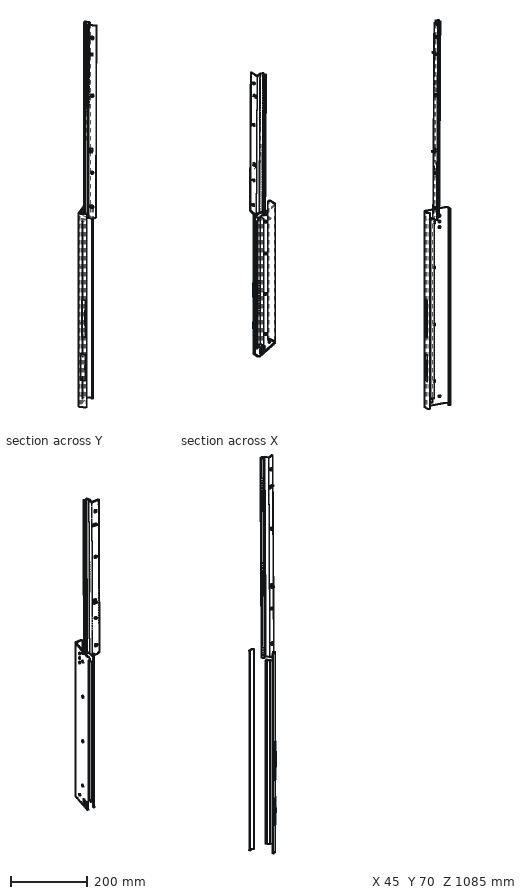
import cadquery as cq

TOTAL_HEIGHT = 1085.0
HOUSING_HEIGHT = 551.0
HOUSING_DEPTH = 22.1
HOUSING_MAX_Y = 70.0
BUMP_RISE = 1.0
HOUSING_MIN_Y = BUMP_RISE
SHEET = 3.0
BEND_RADIUS = 5.0
LIP_LENGTH = 8.0

MOUNT_HOLE_Y = 30.0
MOUNT_HOLE_DIAMETER = 7.0
MOUNT_HOLE_HEIGHTS = [67.0, 227.0, 387.0, 514.0]
TOP_HOLE_DIAMETER = 5.0
TOP_HOLE_HEIGHT = 544.0
SMALL_HOLE_Y = 46.1
SMALL_HOLE_DIAMETER = 5.0
SMALL_HOLE_HEIGHTS = [22.0, 498.0, 514.0, 531.0]

WINDOW_MIN_Y = 9.0
WINDOW_MAX_Y = 26.6
WINDOW_BOTTOM = 8.0
WINDOW_TOP = 23.0

BUMP_END_X = 20.0
BUMPS = [
    (11.0, 201.0, 239.0, 275.0, 306.0),
    (8.0, 77.0, 113.0, 117.0, 152.0),
]

INNER_RAIL_BOTTOM = 24.0
INNER_RAIL_TOP = 530.0
INNER_HEAD_MAX_X = 15.0
INNER_HEAD_MAX_Y = 24.4
INNER_HEAD_MIN_Y = 14.6
INNER_ARM_MIN_Y = 19.0
INNER_HEEL_X = 7.0
INNER_HEEL_MIN_Y = 12.0
INNER_FOOT_X = 12.0
INNER_FOOT_THICKNESS = 1.6

RAIL_BOTTOM = 535.0
RAIL_TILT = 0.35
RAIL_MAX_X = 45.0
RAIL_WEB_X = 21.2
FLANGE_Y = 19.7
RAIL_BEND_RADIUS = 2.0
FLANGE_CHAMFER_X = 7.0
FLANGE_CHAMFER_Z = 4.0
HOOK_MIN_X = 7.4
HOOK_END_Y = 31.0
HOOK_TOP_Y = 40.9
HOOK_SHOULDER_Y = 34.2
GROOVE_X = 14.0
GROOVE_DEPTH = 2.0
GROOVE_HALF_WIDTH = 3.0

FLANGE_HOLE_X = 34.0
SCREW_HOLE_DIAMETER = 4.0
SCREW_HEAD_DIAMETER = 9.0
SCREW_HEAD_ANGLE = 90
SCREW_HOLE_HEIGHTS = [569.0, 885.0, 1049.0]
ROUND_HOLE_DIAMETER = 7.0
ROUND_HOLE_HEIGHT = 665.0

TAB_MIN_X = 25.0
TAB_MAX_X = 35.0
TAB_REACH = 6.0
TAB_THICKNESS = 2.0
TABS = [(725.0, 733.0, 725.0), (998.0, 1006.0, 1004.0)]


def block(x_range, y_range, z_range):
    """Axis-aligned block between the given limits."""
    lows, highs = zip(x_range, y_range, z_range)
    size = [high - low for low, high in zip(lows, highs)]
    return cq.Workplane("XY").box(*size, centered=False).translate(lows)


def web_holes(y, heights, diameter):
    """Cutters along X through the housing web."""
    points = [(y, z) for z in heights]
    return cq.Workplane("YZ").pushPoints(points).circle(diameter / 2).extrude(SHEET)


def housing_channel():
    """C channel with two flanges, each ending in a short inward lip."""
    low, high = HOUSING_MIN_Y, HOUSING_MAX_Y
    outer = block((0, HOUSING_DEPTH), (low, high), (0, HOUSING_HEIGHT)).edges("|Z").fillet(BEND_RADIUS)
    inner = block(
        (SHEET, HOUSING_DEPTH - SHEET), (low + SHEET, high - SHEET), (0, HOUSING_HEIGHT)
    ).edges("|Z").fillet(BEND_RADIUS - SHEET)
    mouth = block(
        (HOUSING_DEPTH - SHEET, HOUSING_DEPTH), (low + LIP_LENGTH, high - LIP_LENGTH), (0, HOUSING_HEIGHT)
    )
    return outer.cut(inner).cut(mouth)


def flange_bump(start_x, bottom, crest_bottom, crest_top, top):
    """Shallow ramped bump on the outside of the lower flange."""
    base = HOUSING_MIN_Y + SHEET / 2
    profile = [
        (base, bottom),
        (HOUSING_MIN_Y, bottom),
        (0, crest_bottom),
        (0, crest_top),
        (HOUSING_MIN_Y, top),
        (base, top),
    ]
    bump_start = cq.Workplane("YZ", origin=(start_x, 0, 0))
    return bump_start.polyline(profile).close().extrude(BUMP_END_X - start_x)


def make_housing():
    housing = housing_channel()
    for bump in BUMPS:
        housing = housing.union(flange_bump(*bump))
    housing = housing.cut(web_holes(MOUNT_HOLE_Y, MOUNT_HOLE_HEIGHTS, MOUNT_HOLE_DIAMETER))
    housing = housing.cut(web_holes(MOUNT_HOLE_Y, [TOP_HOLE_HEIGHT], TOP_HOLE_DIAMETER))
    housing = housing.cut(web_holes(SMALL_HOLE_Y, SMALL_HOLE_HEIGHTS, SMALL_HOLE_DIAMETER))
    window_y = (WINDOW_MIN_Y, WINDOW_MAX_Y)
    return housing.cut(block((0, SHEET), window_y, (WINDOW_BOTTOM, WINDOW_TOP)))


def make_inner_rail():
    """Rail with a thick head against the web and a thin foot on the lower flange."""
    foot_y = HOUSING_MIN_Y + SHEET
    foot_inner_x = INNER_FOOT_X - INNER_FOOT_THICKNESS
    profile = [
        (SHEET, INNER_HEAD_MAX_Y),
        (INNER_HEAD_MAX_X, INNER_HEAD_MAX_Y),
        (INNER_HEAD_MAX_X, INNER_HEAD_MIN_Y),
        (INNER_FOOT_X, INNER_HEAD_MIN_Y),
        (INNER_FOOT_X, foot_y),
        (foot_inner_x, foot_y),
        (foot_inner_x, INNER_HEEL_MIN_Y),
        (INNER_HEEL_X, INNER_HEEL_MIN_Y),
        (INNER_HEEL_X, INNER_ARM_MIN_Y),
        (SHEET, INNER_ARM_MIN_Y),
    ]
    rail = cq.Workplane("XY", origin=(0, 0, INNER_RAIL_BOTTOM)).polyline(profile).close()
    return rail.extrude(INNER_RAIL_TOP - INNER_RAIL_BOTTOM)


def rail_section():
    """Flange, web and grooved hook of the upper rail, all of one sheet thickness."""
    t = SHEET
    web_outer = RAIL_WEB_X + t
    groove_start = GROOVE_X - GROOVE_HALF_WIDTH
    groove_end = GROOVE_X + GROOVE_HALF_WIDTH
    groove_y = HOOK_TOP_Y - GROOVE_DEPTH
    section = cq.Workplane("XY", origin=(0, 0, RAIL_BOTTOM))
    section = section.moveTo(RAIL_WEB_X, FLANGE_Y).lineTo(RAIL_MAX_X, FLANGE_Y)
    section = section.lineTo(RAIL_MAX_X, FLANGE_Y + t).lineTo(web_outer, FLANGE_Y + t)
    section = section.lineTo(web_outer, HOOK_SHOULDER_Y).lineTo(groove_end + t / 2, HOOK_TOP_Y)
    section = section.lineTo(groove_end, HOOK_TOP_Y)
    section = section.threePointArc((GROOVE_X, groove_y), (groove_start, HOOK_TOP_Y))
    section = section.lineTo(HOOK_MIN_X, HOOK_TOP_Y).lineTo(HOOK_MIN_X, HOOK_END_Y)
    section = section.lineTo(HOOK_MIN_X + t, HOOK_END_Y).lineTo(HOOK_MIN_X + t, HOOK_TOP_Y - t)
    section = section.lineTo(groove_start, HOOK_TOP_Y - t)
    section = section.threePointArc((GROOVE_X, groove_y - t), (groove_end, HOOK_TOP_Y - t))
    return section.lineTo(RAIL_WEB_X, HOOK_SHOULDER_Y - t / 2).close()


def flange_corner():
    """Cutter for the sloped lower corner of the flange."""
    corner = [
        (RAIL_MAX_X, RAIL_BOTTOM),
        (RAIL_MAX_X - FLANGE_CHAMFER_X, RAIL_BOTTOM),
        (RAIL_MAX_X, RAIL_BOTTOM + FLANGE_CHAMFER_Z),
    ]
    return cq.Workplane("XZ", origin=(0, FLANGE_Y + SHEET, 0)).polyline(corner).close().extrude(SHEET)


def make_upper_rail():
    rail = rail_section().extrude(TOTAL_HEIGHT - RAIL_BOTTOM)
    for x, y in [(RAIL_WEB_X, FLANGE_Y), (HOOK_MIN_X, HOOK_TOP_Y)]:
        bend_edge = cq.NearestToPointSelector((x, y, (RAIL_BOTTOM + TOTAL_HEIGHT) / 2))
        rail = rail.edges(bend_edge).fillet(RAIL_BEND_RADIUS)
    rail = rail.cut(flange_corner())

    flange_face = cq.Workplane("XZ", origin=(0, FLANGE_Y, 0))
    screw_points = [(FLANGE_HOLE_X, z) for z in SCREW_HOLE_HEIGHTS]
    rail = rail.copyWorkplane(flange_face).pushPoints(screw_points).cskHole(
        SCREW_HOLE_DIAMETER, SCREW_HEAD_DIAMETER, SCREW_HEAD_ANGLE, SHEET
    )
    rail = rail.copyWorkplane(flange_face).pushPoints([(FLANGE_HOLE_X, ROUND_HOLE_HEIGHT)]).hole(
        ROUND_HOLE_DIAMETER, SHEET
    )

    back_y = FLANGE_Y + SHEET
    for window_bottom, window_top, tab_bottom in TABS:
        rail = rail.cut(block((TAB_MIN_X, TAB_MAX_X), (FLANGE_Y, back_y), (window_bottom, window_top)))
        tab_z = (tab_bottom, tab_bottom + TAB_THICKNESS)
        rail = rail.union(block((TAB_MIN_X, TAB_MAX_X), (FLANGE_Y - TAB_REACH, back_y), tab_z))

    pivot = (0, FLANGE_Y, TOTAL_HEIGHT)
    return rail.rotate(pivot, (1, FLANGE_Y, TOTAL_HEIGHT), -RAIL_TILT)


housing = make_housing()
inner_rail = make_inner_rail()
upper_rail = make_upper_rail()

result = cq.Compound.makeCompound([housing.val(), inner_rail.val(), upper_rail.val()])